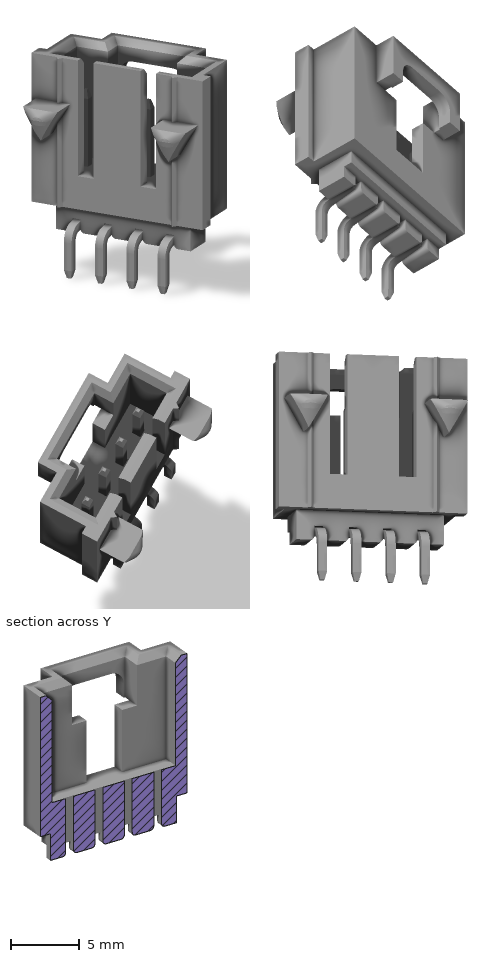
import cadquery as cq
import math


shroud_height = 11.43
shroud_half_width = 6.37
shroud_depth = 5.08
wall = 1.02
floor_top = 2.55
mouth_chamfer = 0.5

bump_half_width = 3.84
bump_back = 6.65
bump_bottom = 7.63
window_half_width = 2.7
window_top = 9.87
window_radius = 1.1
rear_slot_half_width = 1.55

flange_half_width = 6.99
flange_depth = 1.27
slot_inner = 1.93
slot_outer = 3.2
rib_offset = 4.68
rib_half_width = 0.25
rib_height = 0.37

peg_offset = 5.21
peg_width = 2.82
peg_height = peg_width * math.sqrt(3) / 2
peg_top = 8.0
peg_length = 2.18
peg_end_length = 0.7
peg_upper_radius = 0.62
peg_lower_radius = 1.0

base_half_width = 5.48
base_step = 1.14
base_bottom = 2.18
foot_back = 3.39
foot_radius = 0.32

pin_count = 4
pin_pitch = 2.55
pin_size = 0.64
tail_tip_size = 0.32
post_tip_size = 0.23
post_clearance = 0.042
pin_tip_length = 0.64
pin_y = 2.55
pin_top = 8.38
pin_front = -0.39
pin_bottom = -5.33
arm_slope = 10.0
bend_radius = 1.22
bend_y = pin_front + bend_radius
bend_z = -2.55
pin_xs = [(i - (pin_count - 1) / 2) * pin_pitch for i in range(pin_count)]


def block(x0, x1, y0, y1, z0, z1):
    """Axis-aligned box between two corners."""
    return cq.Workplane("XY").box(x1 - x0, y1 - y0, z1 - z0, centered=False).translate((x0, y0, z0))


def centred_block(half_width, y0, y1, z0, z1):
    """Box that is symmetric about the middle plane."""
    return block(-half_width, half_width, y0, y1, z0, z1)


def stepped_outline(inset, z):
    """Outline of shroud and bump together, moved inwards by the inset."""
    side = shroud_half_width - inset
    bump_side = bump_half_width - inset
    back = shroud_depth - inset
    points = [
        (-side, inset),
        (side, inset),
        (side, back),
        (bump_side, back),
        (bump_side, bump_back - inset),
        (-bump_side, bump_back - inset),
        (-bump_side, back),
        (-side, back),
    ]
    return cq.Wire.makePolygon([cq.Vector(x, y, z) for x, y in points], close=True)


def make_shell():
    """Shroud with its bump and flange, hollowed out and chamfered at the mouth."""
    shell = centred_block(shroud_half_width, 0, shroud_depth, 0, shroud_height)
    shell = shell.union(centred_block(bump_half_width, wall, bump_back, bump_bottom, shroud_height))
    shell = shell.union(centred_block(flange_half_width, 0, flange_depth, 0, shroud_height))

    inner_half_width = shroud_half_width - wall
    shell = shell.cut(centred_block(inner_half_width, wall, shroud_depth - wall, floor_top, shroud_height))
    bump_inner = bump_half_width - wall
    shell = shell.cut(centred_block(bump_inner, wall, bump_back - wall, bump_bottom, shroud_height))

    lower_mouth = stepped_outline(wall, shroud_height - mouth_chamfer)
    upper_mouth = stepped_outline(wall - mouth_chamfer, shroud_height)
    mouth = cq.Solid.makeLoft([lower_mouth, upper_mouth], True)
    return shell.cut(cq.Workplane(mouth))


def make_rear_openings():
    """Arched window in the bump and the slot in the rear wall below it."""
    window = centred_block(window_half_width, shroud_depth, bump_back, bump_bottom, window_top)
    window = window.edges("|Y and >Z").fillet(window_radius)
    slot = centred_block(rear_slot_half_width, shroud_depth - wall, shroud_depth, floor_top, bump_bottom)
    return window.union(slot)


def make_front_slots():
    """Two slots that leave a tongue in the front wall."""
    slot = block(slot_inner, slot_outer, 0, wall, floor_top, shroud_height)
    return slot.union(slot.mirror("YZ"))


def make_rib(x):
    """Vertical V-shaped rib on the front wall."""
    return (
        cq.Workplane("XY")
        .polyline([(x - rib_half_width, 0), (x + rib_half_width, 0), (x, -rib_height)])
        .close()
        .extrude(shroud_height)
    )


def rounded_pyramid(x):
    """Pyramid pointing to -Y whose faces pass the rims of a peg, with its sloping edges rounded."""
    apex = cq.Vector(x, -peg_length - peg_end_length, peg_top - peg_height / 3)
    spread = -apex.y / peg_end_length
    rim = [
        cq.Vector(x - peg_width / 2, -peg_length, peg_top),
        cq.Vector(x + peg_width / 2, -peg_length, peg_top),
        cq.Vector(x, -peg_length, peg_top - peg_height),
    ]
    corners = [apex + (point - apex) * spread for point in rim]
    outlines = [corners] + [[corners[i - 1], corners[i], apex] for i in range(3)]
    faces = [cq.Face.makeFromWires(cq.Wire.makePolygon(points, close=True)) for points in outlines]
    pyramid = cq.Workplane(cq.Solid.makeSolid(cq.Shell.makeShell(faces)))
    pyramid = pyramid.edges("not #Y").edges(">>Z[-1]").fillet(peg_upper_radius)
    return pyramid.edges("%LINE and (not #Y)").edges("<Z").fillet(peg_lower_radius)


def make_peg(x):
    """Triangular peg with a flat top and a rounded pyramid end."""
    prism = (
        cq.Workplane("XZ", origin=(x, 0, peg_top))
        .polyline([(-peg_width / 2, 0), (peg_width / 2, 0), (0, -peg_height)])
        .close()
        .extrude(2 * peg_length)
    )
    return prism.intersect(rounded_pyramid(x))


def make_base():
    """Block under the shroud with feet between the pins."""
    base = centred_block(base_half_width, wall, shroud_depth - wall, -base_step, 0)
    slot_edges = [x + side * pin_size / 2 for x in pin_xs for side in (-1, 1)]
    foot_edges = [-base_half_width] + slot_edges + [base_half_width]
    for left, right in zip(foot_edges[::2], foot_edges[1::2]):
        foot = block(left, right, wall, foot_back, -base_bottom, -base_step)
        if left > -base_half_width:
            foot = foot.edges("|Y and <Z and <X").fillet(foot_radius)
        if right < base_half_width:
            foot = foot.edges("|Y and <Z and >X").fillet(foot_radius)
        base = base.union(foot)
    return base


def pin_tip(x, y, z, length, tip_size):
    """Square frustum that narrows over the given signed length along Z."""
    return (
        cq.Workplane("XY", origin=(x, y, z))
        .rect(pin_size, pin_size)
        .workplane(offset=length)
        .rect(tip_size, tip_size)
        .loft()
    )


def bend_point(radius, angle):
    """Y and Z of a point on an arc about the centre of the tail bend."""
    return bend_y + radius * math.cos(angle), bend_z + radius * math.sin(angle)


def arm_height(radius, y):
    """Z, at a given Y, of the sloping arm face that runs into the bend arc of this radius."""
    start_y, start_z = bend_point(radius, math.radians(90 + arm_slope))
    return start_z + (y - start_y) * math.tan(math.radians(arm_slope))


def make_pin(x):
    """Square pin: pointed upright post, arm sloping down to the front, bend and pointed tail."""
    half = pin_size / 2
    rear = pin_y + half
    front = pin_y - half
    shoulder = pin_top - pin_tip_length
    tail_end = pin_bottom + pin_tip_length
    tail_rear = pin_front + pin_size
    inner_radius = bend_radius - pin_size
    bend_start = math.radians(90 + arm_slope)
    bend_middle = math.radians(135 + arm_slope / 2)
    body = (
        cq.Workplane("YZ", origin=(x - half, 0, 0))
        .moveTo(rear, shoulder)
        .lineTo(front, shoulder)
        .lineTo(front, arm_height(bend_radius, front))
        .lineTo(*bend_point(bend_radius, bend_start))
        .threePointArc(bend_point(bend_radius, bend_middle), (pin_front, bend_z))
        .lineTo(pin_front, tail_end)
        .lineTo(tail_rear, tail_end)
        .lineTo(tail_rear, bend_z)
        .threePointArc(bend_point(inner_radius, bend_middle), bend_point(inner_radius, bend_start))
        .lineTo(rear, arm_height(inner_radius, rear))
        .close()
        .extrude(pin_size)
    )
    upper_tip = pin_tip(x, pin_y, shoulder, pin_tip_length, post_tip_size)
    lower_tip = pin_tip(x, pin_front + half, tail_end, -pin_tip_length, tail_tip_size)
    return body.union(upper_tip).union(lower_tip)


def make_housing(pins):
    """Shroud, ribs, pegs and base as one solid, with holes for the pins."""
    housing = make_shell().cut(make_rear_openings()).cut(make_front_slots())
    for side in (-1, 1):
        housing = housing.union(make_rib(side * rib_offset))
        housing = housing.union(make_peg(side * peg_offset))
    housing = housing.union(make_base())
    half_width = pin_size / 2
    half_depth = half_width + post_clearance
    for x in pin_xs:
        hole = centred_block(half_width, pin_y - half_depth, pin_y + half_depth, -base_step, floor_top)
        housing = housing.cut(hole.translate((x, 0, 0)))
    for pin in pins:
        housing = housing.cut(pin)
    return housing


pins = [make_pin(x) for x in pin_xs]
housing = make_housing(pins)

result = cq.Compound.makeCompound([housing.val(), *[pin.val() for pin in pins]])